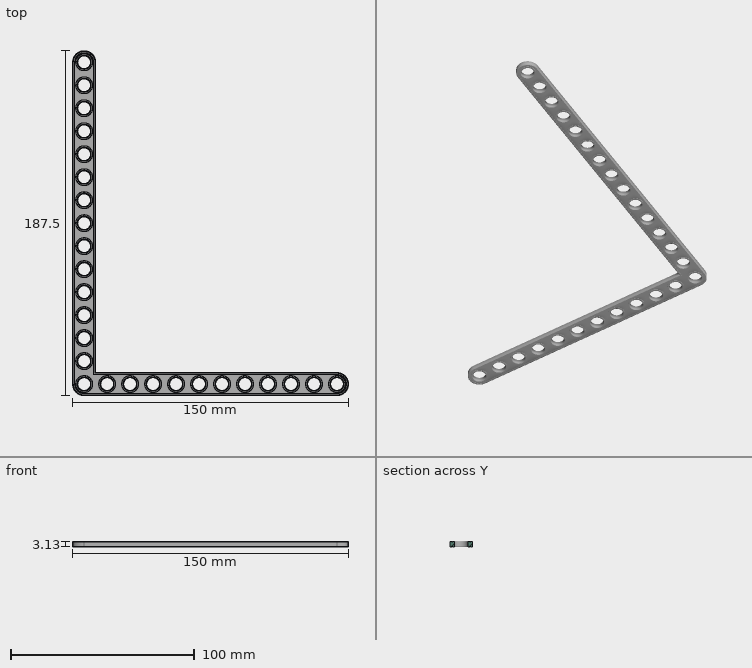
import cadquery as cq

pitch = 12.5
thickness = pitch / 4
holes_along_x = 12
holes_along_y = 15
hole_diameter = 7.0
edge_chamfer = 0.3
rim_width = 1.1
recess_depth = 0.2

end_radius = pitch / 2
last_hole_x = (holes_along_x - 1) * pitch
last_hole_y = (holes_along_y - 1) * pitch
hole_rim_diameter = hole_diameter + 2 * rim_width

row_x = [(i * pitch, 0) for i in range(holes_along_x)]
row_y = [(0, i * pitch) for i in range(1, holes_along_y)]
hole_centres = row_x + row_y


def angle_prism(inset, height):
    """L-shaped prism with round ends, its outline moved inwards by the inset."""
    radius = end_radius - inset
    return (
        cq.Workplane("XY")
        .moveTo(0, -radius)
        .lineTo(last_hole_x, -radius)
        .tangentArcPoint((last_hole_x, radius), relative=False)
        .lineTo(radius, radius)
        .lineTo(radius, last_hole_y)
        .tangentArcPoint((-radius, last_hole_y), relative=False)
        .lineTo(-radius, 0)
        .tangentArcPoint((0, -radius), relative=False)
        .close()
        .extrude(height)
    )


def hole_cylinders(diameter, height):
    """Equal upright cylinders, one at every hole centre."""
    return cq.Workplane("XY").pushPoints(hole_centres).circle(diameter / 2).extrude(height)


def make_perforated_plate():
    """Plate with all its through-holes, chamfered on every edge of both faces."""
    plate = angle_prism(0, thickness).cut(hole_cylinders(hole_diameter, thickness))
    return plate.faces("<Z or >Z").edges().chamfer(edge_chamfer)


def make_recess_cutter():
    """Shallow panel that leaves a rim along the outline and around every hole."""
    panel = angle_prism(rim_width, recess_depth)
    return panel.cut(hole_cylinders(hole_rim_diameter, recess_depth))


plate = make_perforated_plate()
recess = make_recess_cutter()
top_recess = recess.translate((0, 0, thickness - recess_depth))
result = plate.cut(recess).cut(top_recess)